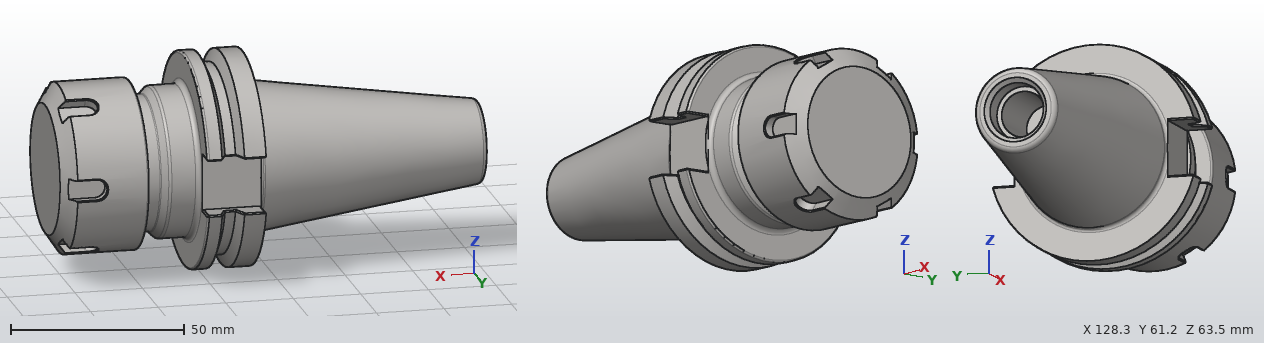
import cadquery as cq
import math

locating_tolerance = 0.01


overall_length = 128.29

gauge_radius = 44.45 / 2
taper_length = 68.25
taper_ratio = 7 / 24 / 2
taper_start = -taper_length
taper_end_radius = gauge_radius - taper_length * taper_ratio
taper_end_round = 1.6

flange_radius = 63.5 / 2
flange_end = 19.05
gauge_land_length = 0.5
flange_root_round = 1.15
flange_start = gauge_land_length + flange_root_round
flange_edge_round = 0.6
groove_centre = 11.35
groove_floor_width = 3.1
groove_half_angle = math.radians(25)
groove_floor_radius = 27.95

drive_slot_width = 16.26
drive_slot_edge_break = 0.45
drive_slot_floor_front = 22.7
drive_slot_floor_back = 24.0

collar_radius = gauge_radius
collar_root_round = 1.6
collar_end = 28.2
collar_end_round = 1.2
neck_root_round = 0.5
neck_radius = 39.88 / 2
neck_start = collar_end + collar_radius - neck_radius

nut_radius = 50.04 / 2
nut_start = 34.95
nut_cone_start = 56.1
nut_end = overall_length - taper_length
nut_end_radius = 19.2
nut_edge_round = 0.6

spanner_slot_count = 6
spanner_slot_width = 6.0
spanner_slot_edge_break = 0.35
spanner_slot_start = 47.4
spanner_slot_floor = 21.9

bore_radius = 16.26 / 2
bore_depth = 7.5
countersink_radius = 9.45
countersink_depth = 1.3
inner_bore_radius = 13.39 / 2
inner_bore_depth = 30.0


def make_body():
    """Revolve the outer profile with sharp edges and without the bore and slots."""
    groove_floor_start = groove_centre - groove_floor_width / 2
    groove_floor_end = groove_centre + groove_floor_width / 2
    groove_flank = (flange_radius - groove_floor_radius) * math.tan(groove_half_angle)

    profile = (
        cq.Workplane("XY")
        .moveTo(taper_start, 0)
        .lineTo(taper_start, taper_end_radius)
        .lineTo(0, gauge_radius)
        .lineTo(flange_start, gauge_radius)
        .lineTo(flange_start, flange_radius)
        .lineTo(groove_floor_start - groove_flank, flange_radius)
        .lineTo(groove_floor_start, groove_floor_radius)
        .lineTo(groove_floor_end, groove_floor_radius)
        .lineTo(groove_floor_end + groove_flank, flange_radius)
        .lineTo(flange_end, flange_radius)
        .lineTo(flange_end, collar_radius)
        .lineTo(collar_end, collar_radius)
        .lineTo(neck_start, neck_radius)
        .lineTo(nut_start, neck_radius)
        .lineTo(nut_start, nut_radius)
        .lineTo(nut_cone_start, nut_radius)
        .lineTo(nut_end, nut_end_radius)
        .lineTo(nut_end, 0)
        .close()
    )
    return profile.revolve(360, (0, 0, 0), (1, 0, 0))


def circle_edges(body, x, radius):
    """Full circles or arcs about X that have the given place and radius."""
    edges = []
    for edge in body.edges("%CIRCLE").vals():
        centre = edge.arcCenter()
        at_place = abs(centre.x - x) < locating_tolerance
        same_size = abs(edge.radius() - radius) < locating_tolerance
        if at_place and same_size:
            edges.append(edge)
    return body.newObject(edges)


def make_bore():
    """Countersunk bore with a step down to a smaller blind bore."""
    return (
        cq.Workplane("XY")
        .moveTo(taper_start, 0)
        .lineTo(taper_start, countersink_radius)
        .lineTo(taper_start + countersink_depth, bore_radius)
        .lineTo(taper_start + bore_depth, bore_radius)
        .lineTo(taper_start + bore_depth, inner_bore_radius)
        .lineTo(taper_start + inner_bore_depth, inner_bore_radius)
        .lineTo(taper_start + inner_bore_depth, 0)
        .close()
        .revolve(360, (0, 0, 0), (1, 0, 0))
    )


def make_drive_slot(floor, side):
    """Box open to the outside on one side of the flange; side is -1 or +1 along Y."""
    depth = flange_radius
    length = flange_end
    slot = cq.Workplane("XY").box(length, depth, drive_slot_width)
    return slot.translate((length / 2, side * (floor + depth / 2), 0))


def make_spanner_slot(angle):
    """Round-ended slot, open at the front of the nut, turned about X from the -Y side."""
    end_radius = spanner_slot_width / 2
    centre = spanner_slot_start + end_radius
    slot = (
        cq.Workplane("XZ", origin=(0, -spanner_slot_floor, 0))
        .moveTo(nut_end, -end_radius)
        .lineTo(centre, -end_radius)
        .threePointArc((spanner_slot_start, 0), (centre, end_radius))
        .lineTo(nut_end, end_radius)
        .close()
        .extrude(nut_radius)
    )
    return slot.rotate((0, 0, 0), (1, 0, 0), angle)


def break_drive_slot_edges(body):
    """Chamfer the rim of the four drive slot walls, except along the slot floors."""
    rim = []
    for face in body.faces("|Z").vals():
        for edge in face.Edges():
            middle = edge.positionAt(0.5)
            floor = drive_slot_floor_front if middle.y < 0 else drive_slot_floor_back
            if abs(middle.y) > floor + locating_tolerance:
                rim.append(edge)
    return body.newObject(rim).chamfer(drive_slot_edge_break)


def break_spanner_slot_edges(body):
    """Chamfer the spanner slot edges that lie on the cylinder of the nut."""
    rim = []
    for edge in body.edges().vals():
        middle = edge.positionAt(0.5)
        on_nut = abs(math.hypot(middle.y, middle.z) - nut_radius) < locating_tolerance
        past_slot_start = middle.x > spanner_slot_start - locating_tolerance
        before_cone = middle.x < nut_cone_start - locating_tolerance
        if on_nut and past_slot_start and before_cone:
            rim.append(edge)
    return body.newObject(rim).chamfer(spanner_slot_edge_break)


def round_body_edges(body):
    """Round the turned edges: place along X, radius of the edge, size of the round."""
    rounds = [
        (taper_start, taper_end_radius, taper_end_round),
        (flange_start, gauge_radius, flange_root_round),
        (flange_end, flange_radius, flange_edge_round),
        (flange_end, collar_radius, collar_root_round),
        (collar_end, collar_radius, collar_end_round),
        (neck_start, neck_radius, neck_root_round),
        (nut_start, nut_radius, nut_edge_round),
    ]
    for x, radius, size in rounds:
        body = circle_edges(body, x, radius).fillet(size)
    return body


result = round_body_edges(make_body())
result = result.cut(make_bore())
result = result.cut(make_drive_slot(drive_slot_floor_front, -1))
result = result.cut(make_drive_slot(drive_slot_floor_back, 1))
result = break_drive_slot_edges(result)
for index in range(spanner_slot_count):
    result = result.cut(make_spanner_slot(index * 360 / spanner_slot_count))
result = break_spanner_slot_edges(result)